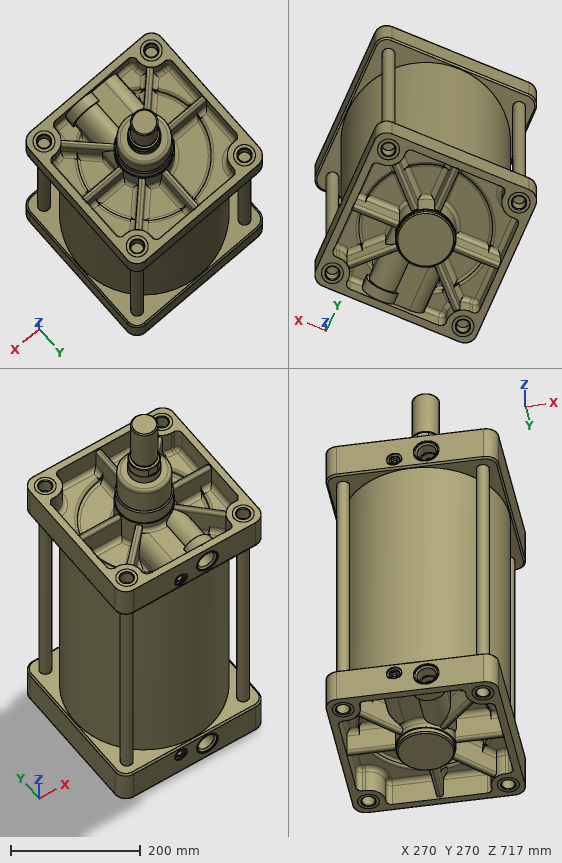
import cadquery as cq
import math

COVER_SIDE = 270.0
COVER_LENGTH = 59.5
COVER_CORNER_RADIUS = 20.0
COVER_CHAMFER = 3.0
REAR_FACE_Z = 9.0
FRONT_FACE_Z = 528.0
MIDDLE_Z = (REAR_FACE_Z + FRONT_FACE_Z) / 2
INNER_FACE_Z = FRONT_FACE_Z - COVER_LENGTH

WALL = 12.0
CAVITY_HALF = COVER_SIDE / 2 - WALL
CAVITY_DEPTH = 46.0
CAVITY_CORNER_RADIUS = 8.5
CAVITY_FLOOR_FILLET = 8.0
CORNER_BOSS_RADIUS = 26.5
FLOOR_Z = FRONT_FACE_Z - CAVITY_DEPTH
STEP_RADIUS = 103.0
STEP_DEPTH = 8.5
STEP_FILLET = STEP_DEPTH / 2
STEP_FLOOR_Z = FLOOR_Z - STEP_DEPTH

HUB_DIAMETER = 94.0
HUB_FOOT_FILLET = 6.5
SCREW_RIB_ANGLE = 225
PORT_RIB_ANGLE = 315
RIB_ANGLES = (0, 45, 90, 180, SCREW_RIB_ANGLE, PORT_RIB_ANGLE)
RIB_WIDTH = 11.0
RIB_TOP_FILLET = 5.0
RIB_FOOT_FILLET = 8.5
RIB_TOP_GAP = 3.5
RIB_WALL_OVERLAP = 6.0

PORT_X = 25.0
PORT_DEPTH_Z = 31.0
BOSS_FOOT_FILLET = 5.0
PORT_BOSS_RADIUS = 24.5
PORT_RING_RADIUS = 29.0
PORT_RING_END_Y = -105.0
PORT_RECESS_DIAMETER = 40.0
PORT_RECESS_DEPTH = 1.5
PORT_LEAD_DIAMETER = 36.0
PORT_THREAD_DIAMETER = 30.0
PORT_THREAD_LENGTH = 21.5
PORT_DRILL_DIAMETER = 25.0
PORT_DRILL_LENGTH = 32.0
PORT_CONE_LENGTH = 7.0
SCREW_X = -25.0
SCREW_DEPTH_Z = 40.0
SCREW_BOSS_RADIUS = 25.0
SCREW_RECESS_DIAMETER = 24.0
SCREW_RECESS_DEPTH = 2.0
SCREW_HOLE_DIAMETER = 17.0
SCREW_HOLE_DEPTH = 11.0
SCREW_HEAD_DIAMETER = 14.0
SCREW_HEAD_HEIGHT = 7.0
SCREW_SOCKET_DIAMETER = 9.0
SCREW_SOCKET_DEPTH = 6.0

SIDE_Y = -COVER_SIDE / 2
PORT_Z = FRONT_FACE_Z - PORT_DEPTH_Z
SCREW_Z = FRONT_FACE_Z - SCREW_DEPTH_Z
WEB_TOP_Z = SCREW_Z + SCREW_BOSS_RADIUS

BARREL_DIAMETER = 262.5
COLLAR_DIAMETER = 90.0
COLLAR_CHAMFER = 2.0
FRONT_COLLAR_TOP_Z = 554.0
BEARING_DIAMETER = 85.0
BEARING_TOP_Z = 603.0
BEARING_FILLET = 6.0
ROD_DIAMETER = 51.5
ROD_NECK_Z = 617.0
ROD_NECK_DIAMETER = 50.0
ROD_SHOULDER_Z = 634.0
ROD_SHOULDER_CHAMFER = 1.5
ROD_FLATS_WIDTH = 47.0
UNDERCUT_DIAMETER = 39.0
UNDERCUT_LENGTH = 2.0
THREAD_DIAMETER = 42.0
THREAD_CHAMFER = 2.0
ROD_TOP_Z = 717.0

TIE_OFFSET = 110.0
TIE_DIAMETER = 20.0
TIE_COLLAR_DIAMETER = 34.0
TIE_COLLAR_LENGTH = 32.0
TIE_HOLE_DIAMETER = 21.0
TIE_HOLE_RIM_DIAMETER = 24.0
TIE_HOLE_DEPTH = 25.0

TIE_POSITIONS = [(x, y) for x in (-TIE_OFFSET, TIE_OFFSET) for y in (-TIE_OFFSET, TIE_OFFSET)]


def disc(diameter, bottom_z, top_z):
    """Cylinder on the Z axis between two heights."""
    return cq.Workplane("XY").workplane(offset=bottom_z).circle(diameter / 2).extrude(top_z - bottom_z)


def pocket_corner(sign_x, sign_y):
    """Part of the square pocket corner that stays solid, with a round nose around a tie rod."""
    inner = TIE_OFFSET - CORNER_BOSS_RADIUS
    size = COVER_SIDE / 2 - inner
    nose = cq.selectors.NearestToPointSelector((sign_x * inner, sign_y * inner, FLOOR_Z + CAVITY_DEPTH / 2))
    block = cq.Workplane("XY").workplane(offset=FLOOR_Z)
    block = block.center(sign_x * (inner + size / 2), sign_y * (inner + size / 2))
    return block.rect(size, size).extrude(CAVITY_DEPTH).edges(nose).fillet(CORNER_BOSS_RADIUS)


def step():
    """Round lower part of the cavity floor, rounded at its rim and filleted at its foot."""
    rim_radius = STEP_RADIUS + STEP_FILLET
    arc_middle = STEP_FILLET * math.sqrt(0.5)
    return (
        cq.Workplane("XZ")
        .moveTo(0, STEP_FLOOR_Z)
        .lineTo(STEP_RADIUS - STEP_FILLET, STEP_FLOOR_Z)
        .threePointArc(
            (STEP_RADIUS - STEP_FILLET + arc_middle, STEP_FLOOR_Z + STEP_FILLET - arc_middle),
            (STEP_RADIUS, STEP_FLOOR_Z + STEP_FILLET),
        )
        .threePointArc(
            (rim_radius - arc_middle, FLOOR_Z - STEP_FILLET + arc_middle),
            (rim_radius, FLOOR_Z),
        )
        .lineTo(0, FLOOR_Z)
        .close()
        .revolve(360, (0, 0, 0), (0, 1, 0))
    )


def cavity():
    """Material removed from a cover: a square pocket with a round step in its floor."""
    pocket = cq.Workplane("XY").workplane(offset=FLOOR_Z)
    pocket = pocket.rect(2 * CAVITY_HALF, 2 * CAVITY_HALF).extrude(CAVITY_DEPTH)
    for sign_x in (-1, 1):
        for sign_y in (-1, 1):
            pocket = pocket.cut(pocket_corner(sign_x, sign_y))
    for wall in ("<X", ">X", "<Y", ">Y"):
        pocket = pocket.faces(wall).edges("|Z").fillet(CAVITY_CORNER_RADIUS)
    pocket = pocket.faces("<Z").edges().fillet(CAVITY_FLOOR_FILLET)
    return pocket.union(step())


def hub(foot_z):
    """Round hub with a foot fillet that runs out onto a surface at foot_z."""
    radius = HUB_DIAMETER / 2
    foot = radius + HUB_FOOT_FILLET
    bend = HUB_FOOT_FILLET * (1 - math.sqrt(0.5))
    return (
        cq.Workplane("XZ")
        .moveTo(0, INNER_FACE_Z)
        .lineTo(foot, INNER_FACE_Z)
        .lineTo(foot, foot_z)
        .threePointArc((radius + bend, foot_z + bend), (radius, foot_z + HUB_FOOT_FILLET))
        .lineTo(radius, FRONT_FACE_Z)
        .lineTo(0, FRONT_FACE_Z)
        .close()
        .revolve(360, (0, 0, 0), (0, 1, 0))
    )


def rib_bar(foot_z, start, end):
    """Straight bar along +X with a round top and a foot flared onto the floor at foot_z."""
    half = RIB_WIDTH / 2
    foot = half + RIB_FOOT_FILLET
    flare_top_z = foot_z + RIB_FOOT_FILLET
    bend = RIB_FOOT_FILLET * (1 - math.sqrt(0.5))
    top_z = FRONT_FACE_Z - RIB_TOP_GAP
    return (
        cq.Workplane("YZ")
        .workplane(offset=start)
        .moveTo(-foot, INNER_FACE_Z)
        .lineTo(foot, INNER_FACE_Z)
        .lineTo(foot, foot_z)
        .threePointArc((half + bend, foot_z + bend), (half, flare_top_z))
        .lineTo(half, top_z)
        .lineTo(-half, top_z)
        .lineTo(-half, flare_top_z)
        .threePointArc((-half - bend, foot_z + bend), (-foot, foot_z))
        .close()
        .extrude(end - start)
        .faces(">Z")
        .edges("|X")
        .fillet(RIB_TOP_FILLET)
    )


def rib(angle):
    """Rib from the hub to the cavity wall, or to a corner boss, with its foot following the step."""
    if angle % 90:
        end = math.hypot(TIE_OFFSET, TIE_OFFSET) - CORNER_BOSS_RADIUS + RIB_WALL_OVERLAP
    else:
        end = CAVITY_HALF + RIB_WALL_OVERLAP
    bar = rib_bar(STEP_FLOOR_Z, 0, end).union(rib_bar(FLOOR_Z, STEP_RADIUS, end))
    return bar.rotate((0, 0, 0), (0, 0, 1), angle)


def bore_along_y(x, z, start_y, diameter, length):
    """Cylinder that runs from start_y in the +Y direction."""
    plane = cq.Plane(origin=(x, start_y, z), xDir=(1, 0, 0), normal=(0, 1, 0))
    return cq.Workplane(plane).circle(diameter / 2).extrude(length)


def boss(x, z, radius, end_y):
    """Half-round ridge over an axis along Y, with filleted feet, from inside the cover wall to end_y."""
    start_y = SIDE_Y + WALL / 2
    foot = radius + BOSS_FOOT_FILLET
    foot_top_z = STEP_FLOOR_Z + BOSS_FOOT_FILLET
    bend = BOSS_FOOT_FILLET * (1 - math.sqrt(0.5))
    return (
        cq.Workplane("XZ", origin=(x, end_y, 0))
        .moveTo(-foot, INNER_FACE_Z)
        .lineTo(-foot, STEP_FLOOR_Z)
        .threePointArc((-radius - bend, STEP_FLOOR_Z + bend), (-radius, foot_top_z))
        .lineTo(-radius, z)
        .threePointArc((0, z + radius), (radius, z))
        .lineTo(radius, foot_top_z)
        .threePointArc((radius + bend, STEP_FLOOR_Z + bend), (foot, STEP_FLOOR_Z))
        .lineTo(foot, INNER_FACE_Z)
        .close()
        .extrude(end_y - start_y)
    )


def sector(start_angle, end_angle):
    """Triangular prism over the cover that spans two directions seen from the Z axis."""
    reach = 2 * COVER_SIDE
    corners = [
        (reach * math.cos(math.radians(angle)), reach * math.sin(math.radians(angle)))
        for angle in (start_angle, end_angle)
    ]
    base = cq.Workplane("XY").workplane(offset=INNER_FACE_Z)
    return base.polyline([(0, 0), *corners]).close().extrude(COVER_LENGTH)


def side_bosses():
    """Bosses around the port and the screw, joined by a flat web with its own fillet at the hub.

    The screw boss ends at the diagonal rib that crosses it.
    """
    start_y = SIDE_Y + WALL / 2
    web = cq.Workplane("XY").box(PORT_X - SCREW_X, -start_y, WEB_TOP_Z - INNER_FACE_Z, centered=False)
    web = web.translate((SCREW_X, start_y, INNER_FACE_Z))
    web = web.union(hub(WEB_TOP_Z).intersect(sector(SCREW_RIB_ANGLE, PORT_RIB_ANGLE)))
    beyond_rib = sector(90, SCREW_RIB_ANGLE)
    screw_side = boss(SCREW_X, SCREW_Z, SCREW_BOSS_RADIUS, 0).union(web).cut(beyond_rib)
    port_side = boss(PORT_X, PORT_Z, PORT_BOSS_RADIUS, 0)
    port_ring = boss(PORT_X, PORT_Z, PORT_RING_RADIUS, PORT_RING_END_Y)
    return screw_side.union(port_side).union(port_ring)


def cone_along_y(x, z, start_y, start_diameter, end_diameter, length):
    """Cone that runs from start_y in the +Y direction."""
    start = cq.Vector(x, start_y, z)
    axis = cq.Vector(0, 1, 0)
    return cq.Workplane(cq.Solid.makeCone(start_diameter / 2, end_diameter / 2, length, start, axis))


def port_hole():
    """Threaded air port: recess, lead-in chamfer, thread bore and drilled end with a cone."""
    recess_y = SIDE_Y + PORT_RECESS_DEPTH
    lead_length = (PORT_LEAD_DIAMETER - PORT_THREAD_DIAMETER) / 2
    drill_end_y = SIDE_Y + PORT_DRILL_LENGTH
    recess = bore_along_y(PORT_X, PORT_Z, SIDE_Y, PORT_RECESS_DIAMETER, PORT_RECESS_DEPTH)
    lead = cone_along_y(PORT_X, PORT_Z, recess_y, PORT_LEAD_DIAMETER, PORT_THREAD_DIAMETER, lead_length)
    thread = bore_along_y(PORT_X, PORT_Z, SIDE_Y, PORT_THREAD_DIAMETER, PORT_THREAD_LENGTH)
    drill = bore_along_y(PORT_X, PORT_Z, SIDE_Y, PORT_DRILL_DIAMETER, PORT_DRILL_LENGTH)
    tip = cone_along_y(PORT_X, PORT_Z, drill_end_y, PORT_DRILL_DIAMETER, 0, PORT_CONE_LENGTH)
    return recess.union(lead).union(thread).union(drill).union(tip)


def screw_hole():
    """Seat of the cushion screw, with the socket head of the screw standing in it."""
    recess = bore_along_y(SCREW_X, SCREW_Z, SIDE_Y, SCREW_RECESS_DIAMETER, SCREW_RECESS_DEPTH)
    hole = bore_along_y(SCREW_X, SCREW_Z, SIDE_Y, SCREW_HOLE_DIAMETER, SCREW_HOLE_DEPTH)
    head_y = SIDE_Y + SCREW_HOLE_DEPTH - SCREW_HEAD_HEIGHT
    head = bore_along_y(SCREW_X, SCREW_Z, head_y, SCREW_HEAD_DIAMETER, SCREW_HEAD_HEIGHT)
    socket = bore_along_y(SCREW_X, SCREW_Z, head_y, SCREW_SOCKET_DIAMETER, SCREW_SOCKET_DEPTH)
    return recess.union(hole).cut(head.cut(socket))


def tie_bores():
    """Stepped holes that the tie rods and their collars fill."""
    points = cq.Workplane("XY").workplane(offset=INNER_FACE_Z).pushPoints(TIE_POSITIONS)
    shafts = points.circle(TIE_DIAMETER / 2).extrude(COVER_LENGTH)
    points = cq.Workplane("XY").workplane(offset=FRONT_FACE_Z).pushPoints(TIE_POSITIONS)
    collars = points.circle(TIE_COLLAR_DIAMETER / 2).extrude(-TIE_COLLAR_LENGTH)
    return shafts.union(collars)


def front_cover():
    """Square cover with its cavity, hub, ribs and holes, facing +Z."""
    block = cq.Workplane("XY").workplane(offset=INNER_FACE_Z)
    block = block.rect(COVER_SIDE, COVER_SIDE).extrude(COVER_LENGTH)
    block = block.edges("|Z").fillet(COVER_CORNER_RADIUS)
    block = block.faces("<Z").edges().chamfer(COVER_CHAMFER)
    block = block.cut(cavity())
    block = block.union(side_bosses()).union(hub(STEP_FLOOR_Z))
    for angle in RIB_ANGLES:
        block = block.union(rib(angle))
    return block.cut(port_hole()).cut(screw_hole()).cut(tie_bores())


def piston_rod():
    """Stepped rod end with wrench flats, an undercut and a plain thread cylinder."""
    rod = disc(ROD_DIAMETER, BEARING_TOP_Z, ROD_NECK_Z)
    neck = disc(ROD_NECK_DIAMETER, ROD_NECK_Z, ROD_SHOULDER_Z)
    neck = neck.faces(">Z").edges().chamfer(ROD_SHOULDER_CHAMFER)
    flats = cq.Workplane("XY").box(ROD_DIAMETER, ROD_FLATS_WIDTH, ROD_TOP_Z, centered=(True, True, False))
    neck = neck.intersect(flats)
    thread_bottom_z = ROD_SHOULDER_Z + UNDERCUT_LENGTH
    undercut = disc(UNDERCUT_DIAMETER, ROD_SHOULDER_Z, thread_bottom_z)
    thread = disc(THREAD_DIAMETER, thread_bottom_z, ROD_TOP_Z).edges().chamfer(THREAD_CHAMFER)
    return rod.union(neck).union(undercut).union(thread)


def cylinder():
    """Both covers, barrel, collars, bearing and rod as one solid; the rear cover mirrors the front one."""
    front = front_cover()
    rear = front.mirror("XY", (0, 0, MIDDLE_Z))
    barrel = disc(BARREL_DIAMETER, REAR_FACE_Z + COVER_LENGTH, INNER_FACE_Z)
    front_collar = disc(COLLAR_DIAMETER, FRONT_FACE_Z, FRONT_COLLAR_TOP_Z)
    front_collar = front_collar.faces(">Z").edges().chamfer(COLLAR_CHAMFER)
    rear_collar = disc(COLLAR_DIAMETER, 0, REAR_FACE_Z)
    rear_collar = rear_collar.faces("<Z").edges().chamfer(COLLAR_CHAMFER)
    bearing = disc(BEARING_DIAMETER, FRONT_COLLAR_TOP_Z, BEARING_TOP_Z)
    bearing = bearing.faces(">Z").edges().fillet(BEARING_FILLET)
    body = front.union(barrel).union(rear)
    return body.union(front_collar).union(rear_collar).union(bearing).union(piston_rod())


def tie_rod(x, y):
    """Tie rod with a bored collar flush with the outer face of each cover."""
    rod = disc(TIE_DIAMETER, REAR_FACE_Z, FRONT_FACE_Z)
    collar = disc(TIE_COLLAR_DIAMETER, FRONT_FACE_Z - TIE_COLLAR_LENGTH, FRONT_FACE_Z)
    hole = disc(TIE_HOLE_DIAMETER, FRONT_FACE_Z - TIE_HOLE_DEPTH, FRONT_FACE_Z)
    rim_depth = (TIE_HOLE_RIM_DIAMETER - TIE_HOLE_DIAMETER) / 2
    rod = rod.union(collar).union(collar.mirror("XY", (0, 0, MIDDLE_Z)))
    rod = rod.cut(hole).cut(hole.mirror("XY", (0, 0, MIDDLE_Z)))
    rims = rod.faces("<Z or >Z").edges(cq.selectors.RadiusNthSelector(0))
    return rims.chamfer(rim_depth).translate((x, y, 0))


housing = cylinder()
tie_rods = [tie_rod(x, y) for x, y in TIE_POSITIONS]
result = cq.Compound.makeCompound([housing.val(), *(rod.val() for rod in tie_rods)])